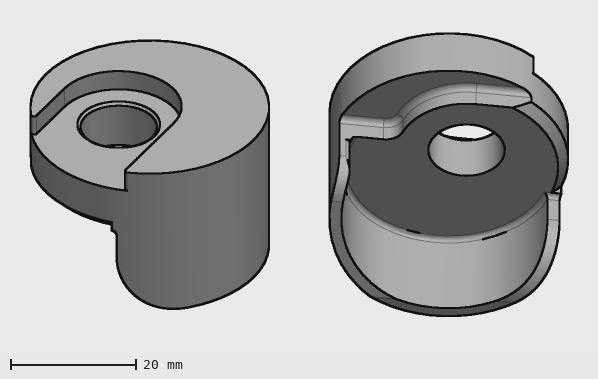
import cadquery as cq
import math

outer_radius = 19.05
height = 26.4
flange_bottom = 18.35
pad_bottom = 14.82
reach = 2 * outer_radius

bore_offset = 3.5
bore_radius = 6.1
bore_chamfer = 0.5
slot_angle = 18.0
slot_radius = 10.02
slot_depth = 3.5
slot_lip_radius = 0.45

pad_radius = 11.05
pad_blend_radius = 2.95
pad_root_fillet = 1.03
pad_chamfer = 1.6

skirt_inner_radius = 17.15
skirt_root_fillet = 0.8
back_end = -0.72
back_edge_radius = 6.1
back_inner_round = 0.7
slope_start_height = 5.8
slope_end = 20.4
front_end = 8.95
front_arc_radius = 9.75

angle = math.radians(slot_angle)
across = (math.cos(angle), math.sin(angle), 0)
along = (-math.sin(angle), math.cos(angle), 0)


def slot_frame(z):
    return cq.Workplane(cq.Plane((-bore_offset, -bore_offset, z), across, (0, 0, 1)))


def section_frame():
    """Vertical plane through the bore axis, facing the open (front) end of the slot."""
    front = tuple(-component for component in along)
    return cq.Workplane(cq.Plane((-bore_offset, -bore_offset, 0), across, front))


def flange_with_pad():
    """Untrimmed flange on a round pad that blends into a straight wall at the back."""
    blend_x = back_end - pad_blend_radius
    blend_y = math.sqrt((pad_radius + pad_blend_radius) ** 2 - blend_x**2)
    contact_scale = pad_radius / (pad_radius + pad_blend_radius)
    contact = (blend_x * contact_scale, blend_y * contact_scale)

    contact_angle = math.atan2(blend_y, blend_x)
    round_angle = (math.pi + contact_angle) / 2
    round_middle = (pad_radius * math.cos(round_angle), pad_radius * math.sin(round_angle))
    blend_angle = (contact_angle - math.pi) / 2
    blend_middle = (
        blend_x + pad_blend_radius * math.cos(blend_angle),
        blend_y + pad_blend_radius * math.sin(blend_angle),
    )
    outline = (
        slot_frame(0)
        .moveTo(-pad_radius, -reach)
        .lineTo(-pad_radius, 0)
        .threePointArc(round_middle, contact)
        .threePointArc(blend_middle, (back_end, blend_y))
        .lineTo(back_end, reach)
        .lineTo(2 * reach, reach)
        .lineTo(2 * reach, -reach)
        .close()
    )
    flange = slot_frame(flange_bottom).rect(4 * reach, 2 * reach).extrude(height - flange_bottom)
    joined = flange.union(outline.extrude(flange_bottom))
    root_zone = cq.selectors.BoxSelector(
        (-reach, -reach, flange_bottom - pad_root_fillet),
        (reach, reach, flange_bottom + pad_root_fillet),
    )
    return joined.edges(root_zone).fillet(pad_root_fillet)


def cavity(top):
    """Round space inside the skirt."""
    return cq.Workplane().circle(skirt_inner_radius).extrude(top)


def back_end_point(z, y):
    """Point on the plane of the back skirt end, y along the slot direction."""
    return slot_frame(z).plane.toWorldCoords((back_end, y, 0)).toTuple()


def back_end_cut(top):
    """Space beyond the upright back end of the skirt."""
    corner = slot_frame(0).moveTo(back_end, 0)
    return corner.rect(-reach, reach, centered=False).extrude(top)


def back_slope_cut():
    """Space below the rounded, sloped lower edge of the back skirt."""
    return (
        section_frame()
        .moveTo(-reach, pad_bottom)
        .lineTo(back_end, pad_bottom)
        .lineTo(back_end, slope_start_height)
        .lineTo(slope_end, 0)
        .lineTo(-reach, 0)
        .close()
        .extrude(-reach)
        .edges(cq.selectors.NearestToPointSelector(back_end_point(slope_start_height, reach / 2)))
        .fillet(back_edge_radius)
    )


def front_skirt_cut():
    """Space before the front skirt end, which flares to the base in a quarter arc."""
    arc_offset = front_arc_radius * (1 - math.sqrt(0.5))
    return (
        section_frame()
        .moveTo(-reach, pad_bottom)
        .lineTo(front_end - skirt_root_fillet, pad_bottom)
        .radiusArc((front_end, pad_bottom - skirt_root_fillet), skirt_root_fillet)
        .lineTo(front_end, front_arc_radius)
        .threePointArc((front_end + arc_offset, arc_offset), (front_end + front_arc_radius, 0))
        .lineTo(-reach, 0)
        .close()
        .extrude(reach)
    )


def pad_chamfer_cut():
    """Conical chamfer on the front lower edge of the pad."""
    ring = (
        cq.Workplane("XZ")
        .moveTo(outer_radius - pad_chamfer, pad_bottom)
        .lineTo(outer_radius, pad_bottom)
        .lineTo(outer_radius, pad_bottom + pad_chamfer)
        .close()
        .revolve(360, (0, 0), (0, 1))
    )
    chamfer_end = slot_frame(0).moveTo(front_end - skirt_root_fillet, 0)
    front_zone = chamfer_end.rect(-reach, -reach, centered=False).extrude(height)
    return ring.intersect(front_zone)


def slot():
    """Open round-ended slot in the top face."""
    floor = slot_frame(height - slot_depth)
    round_end = floor.circle(slot_radius).extrude(slot_depth)
    channel = floor.center(0, -reach / 2).rect(2 * slot_radius, reach).extrude(slot_depth)
    return round_end.union(channel)


body = flange_with_pad().intersect(cq.Workplane().circle(outer_radius).extrude(height))

root_height = pad_bottom - skirt_root_fillet
body = body.cut(cavity(root_height)).cut(back_end_cut(root_height))
inner_end = back_end_point(root_height / 2, skirt_inner_radius)
body = body.edges("|Z").edges(cq.selectors.NearestToPointSelector(inner_end)).fillet(back_inner_round)
body = body.cut(cavity(pad_bottom).faces(">Z").edges().fillet(skirt_root_fillet))
body = body.cut(back_end_cut(pad_bottom))
body = body.cut(back_slope_cut()).cut(front_skirt_cut()).cut(pad_chamfer_cut())

body = body.cut(slot())
slot_floor = height - slot_depth
for side in (-slot_radius, slot_radius):
    lip = slot_frame(height - slot_depth / 2).plane.toWorldCoords((side, -outer_radius, 0)).toTuple()
    lip_edge = body.edges("|Z").edges(cq.selectors.NearestToPointSelector(lip))
    body = lip_edge.fillet(slot_lip_radius)

body = body.cut(slot_frame(0).circle(bore_radius).extrude(height))
countersink = (
    slot_frame(slot_floor)
    .circle(bore_radius + bore_chamfer)
    .workplane(offset=-bore_chamfer)
    .circle(bore_radius)
    .loft()
)
result = body.cut(countersink)